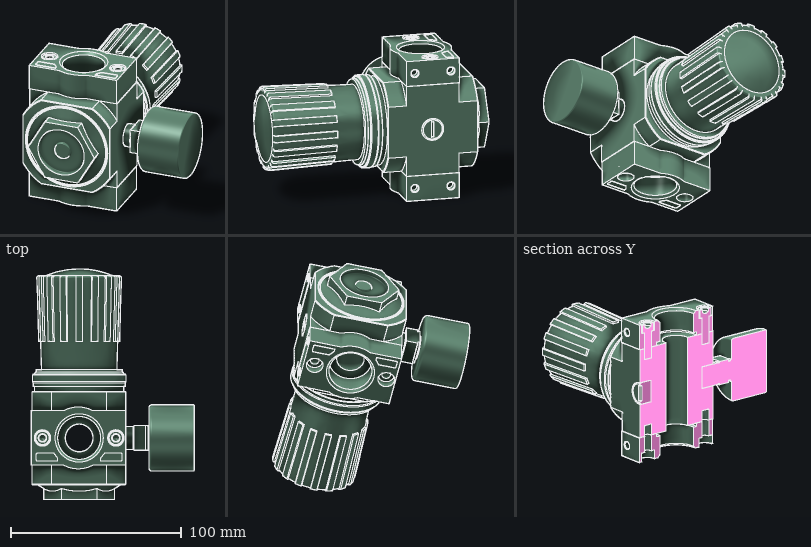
import cadquery as cq
import math


BLOCK_LEFT = -27.7
BLOCK_RIGHT = 27.3
BLOCK_BOTTOM = -27.4
BLOCK_TOP = 27.1
BLOCK_HALF_HEIGHT = 27.34
BAND_HALF_LENGTH = 15.9
CORNER_RADIUS = 31.7
BLOCK_CHAMFER = 0.4
NECK_RADIUS = 26.2
NECK_TOP = 30.1
FLANGE_RADIUS = 27.0
FLANGE_TOP = 32.3

PASSAGE_DIAMETER = 16.0
PORT_DIAMETER = 25.1
PORT_RIM_DIAMETER = 28.2
SEAL_RECESS_DIAMETER = 29.7
SEAL_RECESS_HEIGHT = 1.8
SIDE_THREAD_DIAMETER = 13.1
SIDE_THREAD_DEPTH = 8.1

TOTAL_HEIGHT = 85.0
PLATE_LEFT = -28.1
PLATE_RIGHT = 27.0
BULGE_RADIUS = 18.1
BULGE_BLEND = 1.4
SIDE_HOLE_DIAMETER = 4.2
SIDE_HOLE_RIM_DIAMETER = 5.0
SIDE_HOLE_DEPTH = 4.0
SIDE_HOLE_Y = 11.0
SIDE_HOLE_Z = 35.0
LABEL_DEPTH = 0.3
LABEL_CORNER = 0.7
LABEL_INNER_X = 12.5
LABEL_OUTER_X = 25.1
LABEL_BOTTOM = -13.5
LABEL_TOP = -8.9
LABEL_SLANT_X = 2.3
LABEL_SLANT_Y = 3.0

SCREW_X = 21.5
SCREW_RECESS_DIAMETER = 9.6
SCREW_RECESS_DEPTH = 5.4
SCREW_HEAD_DIAMETER = 8.6
SCREW_HEAD_HEIGHT = 5.0
SCREW_HEAD_CHAMFER = 0.4
SCREW_SHANK_DIAMETER = 5.0
SCREW_GRIP = 6.8
SOCKET_RIM_DIAMETER = 5.0
SOCKET_DIAMETER = 4.2
SOCKET_DEPTH = 2.0
SOCKET_CONE_DEPTH = 1.2

RING_RADIUS = 27.4
RING_LOWER_EDGE = 33.0
RING_UPPER_EDGE = 36.7
RING_LEDGE_OUTER_RADIUS = 27.0
RING_LEDGE_INNER_RADIUS = 26.5
RING_LEDGE_Y = 37.3
RING_TOP_RADIUS = 25.2
RING_TOP = 40.0
RING_LIP_RADIUS = 25.6
RING_LIP_Y = 38.5

KNOB_STEM_RADIUS = 22.1
KNOB_BODY_TOP_RADIUS = 23.6
KNOB_RIM_Y = 94.9
KNOB_RIM_ROUND = 1.4
DOME_RADIUS = 19.8
DOME_TOP = 99.0
RIB_COUNT = 16
RIB_WIDTH = 3.9
RIB_START = 56.4
RIB_START_RADIUS = 23.8
RIB_TOP_RADIUS = 24.8

CAP_RADIUS = 25.2
CAP_SEAT_DEPTH = 4.0
CAP_SEAT_CHAMFER = 0.7
CAP_CONE_RADIUS = 24.6
CAP_CONE_ANGLE = 30.0
CAP_END = -36.0
HEX_ACROSS_FLATS = 36.0
CAP_RECESS_DIAMETER = 29.0
CAP_FLOOR_DIAMETER = 26.5
CAP_RECESS_DEPTH = 3.1
BOSS_DIAMETER = 9.9
BOSS_HEIGHT = 1.6
BOSS_ROUND = 0.7

PLUG_FACE_DIAMETER = 11.5
PLUG_SLOT_LENGTH = 9.3
PLUG_SLOT_WIDTH = 1.4
PLUG_SLOT_DEPTH = 1.4

STEM_DIAMETER = 13.6
STEM_END = 31.6
WRENCH_START = 32.0
WRENCH_END = 38.9
WRENCH_SIZE = 14.6
NECK_HEIGHT = 11.9
COLLAR_START = 40.2
CASE_START = 40.8
CASE_END = 67.4
CASE_DIAMETER = 39.0
CASE_BACK_ROUND = 1.9
CASE_FRONT_ROUND = 0.8


def spin_about_y(points):
    """Solid of revolution about the knob axis from (radius, y) points."""
    return cq.Workplane("XY").polyline(points).close().revolve(360, (0, 0), (0, 1))


def rod_x(diameter, start, end):
    return cq.Workplane("YZ").workplane(offset=start).circle(diameter / 2).extrude(end - start)


def block_x(start, end, size_y, size_z):
    return cq.Workplane("YZ").workplane(offset=start).rect(size_y, size_z).extrude(end - start)


def rod_z(diameter, start, end, x=0):
    return cq.Workplane("XY").workplane(offset=start).center(x, 0).circle(diameter / 2).extrude(end - start)


def taper_z(start, start_diameter, end, end_diameter, x=0):
    """Cone or cone frustum along +Z; an end diameter of zero gives a point."""
    cone = cq.Solid.makeCone(
        start_diameter / 2, end_diameter / 2, end - start, cq.Vector(x, 0, start), cq.Vector(0, 0, 1)
    )
    return cq.Workplane(cone)


def box_between(x0, x1, y0, y1, z0, z1):
    return cq.Workplane("XY").box(x1 - x0, y1 - y0, z1 - z0, centered=False).translate((x0, y0, z0))


def make_block():
    half_z = BLOCK_HALF_HEIGHT
    rounded = box_between(BLOCK_LEFT, BLOCK_RIGHT, BLOCK_BOTTOM, BLOCK_TOP, -half_z, half_z)
    rounding = spin_about_y(
        [(0, BLOCK_BOTTOM), (CORNER_RADIUS, BLOCK_BOTTOM), (CORNER_RADIUS, BLOCK_TOP), (0, BLOCK_TOP)]
    )
    rounded = rounded.intersect(rounding).faces("<Y or >Y").chamfer(BLOCK_CHAMFER)
    band = box_between(BLOCK_LEFT, BLOCK_RIGHT, -BAND_HALF_LENGTH, BAND_HALF_LENGTH, -half_z, half_z)
    return rounded.union(band)


def make_housing():
    neck = spin_about_y([
        (0, BLOCK_TOP),
        (NECK_RADIUS, BLOCK_TOP),
        (NECK_RADIUS, NECK_TOP),
        (FLANGE_RADIUS, NECK_TOP),
        (FLANGE_RADIUS, FLANGE_TOP),
        (0, FLANGE_TOP),
    ])
    cap_seat = spin_about_y([
        (0, BLOCK_BOTTOM),
        (CAP_RADIUS + CAP_SEAT_CHAMFER, BLOCK_BOTTOM),
        (CAP_RADIUS, BLOCK_BOTTOM + CAP_SEAT_CHAMFER),
        (CAP_RADIUS, BLOCK_BOTTOM + CAP_SEAT_DEPTH),
        (0, BLOCK_BOTTOM + CAP_SEAT_DEPTH),
    ])
    body = make_block().union(neck).cut(cap_seat)
    body = body.cut(rod_z(PASSAGE_DIAMETER, -BLOCK_HALF_HEIGHT, BLOCK_HALF_HEIGHT))
    body = body.cut(rod_x(SIDE_THREAD_DIAMETER, BLOCK_LEFT, BLOCK_LEFT + SIDE_THREAD_DEPTH))
    body = body.cut(rod_x(SIDE_THREAD_DIAMETER, BLOCK_RIGHT - SIDE_THREAD_DEPTH, BLOCK_RIGHT))
    for x in (-SCREW_X, SCREW_X):
        screw_hole = rod_z(SCREW_SHANK_DIAMETER, BLOCK_HALF_HEIGHT - SCREW_GRIP, BLOCK_HALF_HEIGHT, x)
        body = body.cut(screw_hole).cut(screw_hole.mirror("XY"))
    return body


def make_label_pocket():
    """Shallow pocket on the +X side of the plate, with one slanted corner facing the port."""
    outline = [
        (LABEL_INNER_X, LABEL_BOTTOM),
        (LABEL_OUTER_X, LABEL_BOTTOM),
        (LABEL_OUTER_X, LABEL_TOP),
        (LABEL_INNER_X + LABEL_SLANT_X, LABEL_TOP),
        (LABEL_INNER_X, LABEL_TOP - LABEL_SLANT_Y),
    ]
    floor = cq.Workplane("XY").workplane(offset=TOTAL_HEIGHT / 2 - LABEL_DEPTH)
    return floor.polyline(outline).close().extrude(LABEL_DEPTH).edges("|Z and >X").fillet(LABEL_CORNER)


def make_side_hole(y):
    """Blind hole with a countersunk rim in the -X face of the plate."""
    rim_depth = (SIDE_HOLE_RIM_DIAMETER - SIDE_HOLE_DIAMETER) / 2
    rim = cq.Solid.makeCone(
        SIDE_HOLE_RIM_DIAMETER / 2,
        SIDE_HOLE_DIAMETER / 2,
        rim_depth,
        cq.Vector(PLATE_LEFT, 0, 0),
        cq.Vector(1, 0, 0),
    )
    hole = rod_x(SIDE_HOLE_DIAMETER, PLATE_LEFT, PLATE_LEFT + SIDE_HOLE_DEPTH).union(cq.Workplane(rim))
    return hole.translate((0, y, SIDE_HOLE_Z))


def make_plate(upper):
    """Plate on the +Z face of the housing, or its mirror image on the -Z face."""
    outer = TOTAL_HEIGHT / 2
    inner = BLOCK_HALF_HEIGHT
    plate = box_between(PLATE_LEFT, PLATE_RIGHT, -BAND_HALF_LENGTH, BAND_HALF_LENGTH, inner, outer)
    middle_x = (PLATE_LEFT + PLATE_RIGHT) / 2
    plate = plate.union(rod_z(2 * BULGE_RADIUS, inner, outer, middle_x))
    blend_x = math.sqrt(BULGE_RADIUS**2 - BAND_HALF_LENGTH**2)
    blend_zone = cq.selectors.BoxSelector(
        (middle_x - blend_x - BULGE_BLEND, -BULGE_RADIUS, inner),
        (middle_x + blend_x + BULGE_BLEND, BULGE_RADIUS, outer),
    )
    plate = plate.edges("|Z").edges(blend_zone).fillet(BULGE_BLEND)

    plate = plate.cut(rod_z(PORT_DIAMETER, inner, outer))
    plate = plate.cut(rod_z(SEAL_RECESS_DIAMETER, inner, inner + SEAL_RECESS_HEIGHT))
    port_rim_depth = (PORT_RIM_DIAMETER - PORT_DIAMETER) / 2
    plate = plate.cut(taper_z(outer - port_rim_depth, PORT_DIAMETER, outer, PORT_RIM_DIAMETER))

    for x in (-SCREW_X, SCREW_X):
        plate = plate.cut(rod_z(SCREW_RECESS_DIAMETER, outer - SCREW_RECESS_DEPTH, outer, x))
        plate = plate.cut(rod_z(SCREW_SHANK_DIAMETER, inner, outer, x))
    for y in (-SIDE_HOLE_Y, SIDE_HOLE_Y):
        plate = plate.cut(make_side_hole(y))
    label = make_label_pocket()
    plate = plate.cut(label).cut(label.mirror("YZ"))
    return plate if upper else plate.mirror("XY")


def make_screw(x):
    seat = TOTAL_HEIGHT / 2 - SCREW_RECESS_DEPTH
    head_top = seat + SCREW_HEAD_HEIGHT
    socket_floor = head_top - SOCKET_DEPTH
    rim_depth = (SOCKET_RIM_DIAMETER - SOCKET_DIAMETER) / 2
    head = rod_z(SCREW_HEAD_DIAMETER, seat, head_top, x).faces(">Z").chamfer(SCREW_HEAD_CHAMFER)
    shank = rod_z(SCREW_SHANK_DIAMETER, BLOCK_HALF_HEIGHT - SCREW_GRIP, seat, x)
    socket = rod_z(SOCKET_DIAMETER, socket_floor, head_top, x)
    socket_rim = taper_z(head_top - rim_depth, SOCKET_DIAMETER, head_top, SOCKET_RIM_DIAMETER, x)
    socket_cone = taper_z(socket_floor - SOCKET_CONE_DEPTH, 0, socket_floor, SOCKET_DIAMETER, x)
    return head.union(shank).cut(socket).cut(socket_rim).cut(socket_cone)


def make_ring():
    return spin_about_y([
        (KNOB_STEM_RADIUS, FLANGE_TOP),
        (FLANGE_RADIUS, FLANGE_TOP),
        (RING_RADIUS, RING_LOWER_EDGE),
        (RING_RADIUS, RING_UPPER_EDGE),
        (RING_LEDGE_OUTER_RADIUS, RING_LEDGE_Y),
        (RING_LEDGE_INNER_RADIUS, RING_LEDGE_Y),
        (RING_LIP_RADIUS, RING_LIP_Y),
        (RING_TOP_RADIUS, RING_LIP_Y),
        (RING_TOP_RADIUS, RING_TOP),
        (KNOB_STEM_RADIUS, RING_TOP),
    ])


def add_domed_end(outline, rim_radius):
    """Continue a (radius, y) outline over the rounded rim and the dome to the axis."""
    side_y = KNOB_RIM_Y - KNOB_RIM_ROUND
    dome_sphere = (DOME_RADIUS**2 + (DOME_TOP - KNOB_RIM_Y) ** 2) / (2 * (DOME_TOP - KNOB_RIM_Y))
    dome_mid_x = DOME_RADIUS / 2
    dome_mid_y = DOME_TOP - dome_sphere + math.sqrt(dome_sphere**2 - dome_mid_x**2)
    return (
        outline.lineTo(rim_radius, side_y)
        .radiusArc((rim_radius - KNOB_RIM_ROUND, KNOB_RIM_Y), -KNOB_RIM_ROUND)
        .lineTo(DOME_RADIUS, KNOB_RIM_Y)
        .threePointArc((dome_mid_x, dome_mid_y), (0, DOME_TOP))
        .close()
    )


def make_knob():
    core_outline = (
        cq.Workplane("XY")
        .moveTo(0, FLANGE_TOP)
        .lineTo(KNOB_STEM_RADIUS, FLANGE_TOP)
        .lineTo(KNOB_STEM_RADIUS, RING_TOP)
    )
    core = add_domed_end(core_outline, KNOB_BODY_TOP_RADIUS).revolve(360, (0, 0), (0, 1))

    rib_outline = cq.Workplane("XY").moveTo(0, RIB_START).lineTo(RIB_START_RADIUS, RIB_START)
    rib_envelope = add_domed_end(rib_outline, RIB_TOP_RADIUS).revolve(360, (0, 0), (0, 1))
    rib_bar = box_between(0, RIB_TOP_RADIUS, RIB_START, DOME_TOP, -RIB_WIDTH / 2, RIB_WIDTH / 2)
    rib = rib_bar.intersect(rib_envelope)
    for i in range(RIB_COUNT):
        core = core.union(rib.rotate((0, 0, 0), (0, 1, 0), i * 360 / RIB_COUNT))
    return core


def make_cap():
    cone_drop = CAP_CONE_RADIUS * math.tan(math.radians(CAP_CONE_ANGLE))
    seat = spin_about_y([
        (0, BLOCK_BOTTOM + CAP_SEAT_DEPTH),
        (CAP_RADIUS, BLOCK_BOTTOM + CAP_SEAT_DEPTH),
        (CAP_RADIUS, BLOCK_BOTTOM),
        (CAP_CONE_RADIUS, BLOCK_BOTTOM),
        (0, BLOCK_BOTTOM - cone_drop),
    ])
    hex_corners = HEX_ACROSS_FLATS / math.cos(math.radians(30))
    hexagon = (
        cq.Workplane("XZ", origin=(0, BLOCK_BOTTOM, 0))
        .polygon(6, hex_corners)
        .extrude(BLOCK_BOTTOM - CAP_END)
    )
    below_end = box_between(
        -CAP_RADIUS, CAP_RADIUS, BLOCK_BOTTOM - cone_drop, CAP_END, -CAP_RADIUS, CAP_RADIUS
    )
    floor_y = CAP_END + CAP_RECESS_DEPTH
    recess_round = (CAP_RECESS_DIAMETER - CAP_FLOOR_DIAMETER) / 2
    boss_radius = BOSS_DIAMETER / 2
    tip_y = floor_y - BOSS_HEIGHT
    recess = (
        cq.Workplane("XY")
        .moveTo(0, CAP_END)
        .lineTo(CAP_RECESS_DIAMETER / 2, CAP_END)
        .lineTo(CAP_RECESS_DIAMETER / 2, floor_y - recess_round)
        .radiusArc((CAP_FLOOR_DIAMETER / 2, floor_y), -recess_round)
        .lineTo(boss_radius + BOSS_ROUND, floor_y)
        .radiusArc((boss_radius, floor_y - BOSS_ROUND), -BOSS_ROUND)
        .lineTo(boss_radius, tip_y + BOSS_ROUND)
        .radiusArc((boss_radius - BOSS_ROUND, tip_y), BOSS_ROUND)
        .lineTo(0, tip_y)
        .close()
        .revolve(360, (0, 0), (0, 1))
    )
    return seat.union(hexagon).cut(below_end).cut(recess)


def make_plug():
    plug = rod_x(SIDE_THREAD_DIAMETER, BLOCK_LEFT, BLOCK_LEFT + SIDE_THREAD_DEPTH)
    plug = plug.faces("<X").chamfer((SIDE_THREAD_DIAMETER - PLUG_FACE_DIAMETER) / 2)
    return plug.cut(block_x(BLOCK_LEFT, BLOCK_LEFT + PLUG_SLOT_DEPTH, PLUG_SLOT_WIDTH, PLUG_SLOT_LENGTH))


def make_gauge():
    case = rod_x(CASE_DIAMETER, CASE_START, CASE_END)
    case = case.faces("<X").edges().fillet(CASE_BACK_ROUND)
    case = case.faces(">X").edges().fillet(CASE_FRONT_ROUND)
    return (
        rod_x(SIDE_THREAD_DIAMETER, BLOCK_RIGHT - SIDE_THREAD_DEPTH, WRENCH_START)
        .union(rod_x(STEM_DIAMETER, BLOCK_RIGHT, STEM_END))
        .union(block_x(WRENCH_START, WRENCH_END, WRENCH_SIZE, WRENCH_SIZE))
        .union(block_x(WRENCH_END, COLLAR_START, WRENCH_SIZE, NECK_HEIGHT))
        .union(rod_x(STEM_DIAMETER, COLLAR_START, CASE_START))
        .union(case)
    )


housing = make_housing()
plates = [make_plate(upper) for upper in (True, False)]
screws = [make_screw(x) for x in (-SCREW_X, SCREW_X)]
ring = make_ring()
knob = make_knob()
cap = make_cap()
plug = make_plug()
gauge = make_gauge()

result = cq.Compound.makeCompound([
    housing.val(),
    *[plate.val() for plate in plates],
    *[screw.val() for screw in screws],
    ring.val(),
    knob.val(),
    cap.val(),
    plug.val(),
    gauge.val(),
])